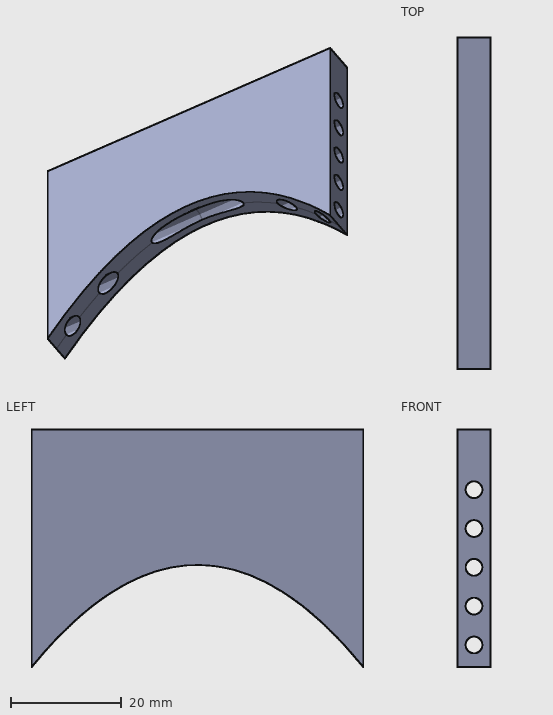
import cadquery as cq

thickness = 6
length = 60
height = 43.0

arch_rise = 18.5
half_span = length / 2

hole_diameter = 3
hole_count = 5
hole_pitch = 7.0
lowest_hole_height = 4.0


def make_plate():
    """Plate with its lower edge following the parabola."""
    left_tip = (-half_span, 0)
    right_tip = (half_span, 0)
    tangent_meeting_point = (0, 2 * arch_rise)
    return (
        cq.Workplane("YZ")
        .moveTo(*left_tip)
        .bezier([left_tip, tangent_meeting_point, right_tip])
        .lineTo(half_span, height)
        .lineTo(-half_span, height)
        .close()
        .extrude(thickness / 2, both=True)
    )


def make_holes():
    """Evenly spaced cylinders along Y, spanning the whole plate."""
    centers = [(0, lowest_hole_height + i * hole_pitch) for i in range(hole_count)]
    return (
        cq.Workplane("XZ")
        .pushPoints(centers)
        .circle(hole_diameter / 2)
        .extrude(half_span, both=True)
    )


result = make_plate().cut(make_holes())